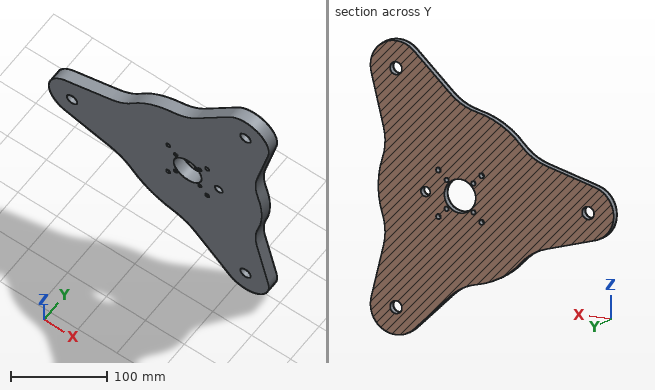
import cadquery as cq
import math

height = 317.0
thickness = 15.0
hub_radius = 95.0
lobe_diameter = 60.0
lobe_radius = lobe_diameter / 2
arm_taper = math.radians(16)
fillet_radius = 60.3
arm_angles = (60, 180, 300)

lobe_distance = (height - lobe_diameter) / math.sqrt(3)

bore_diameter = 35.8
lobe_hole_diameter = 13.3
side_hole_diameter = 10.0
side_hole_distance = 40.0
outer_square = 50.0
outer_hole_diameter = 5.0
inner_square = 31.0
inner_hole_diameter = 4.5


def polar(radius, angle):
    return radius * math.cos(angle), radius * math.sin(angle)


def arm_sector(angle_degrees):
    """One arm, from the plate centre out to its lobe, with both blends."""
    normal_angle = math.pi / 2 - arm_taper
    flank_offset = lobe_distance * math.sin(arm_taper) + lobe_radius
    blend_distance = hub_radius + fillet_radius
    blend_angle = normal_angle - math.acos((flank_offset + fillet_radius) / blend_distance)
    blend_x, blend_y = polar(blend_distance, blend_angle)

    hub_end = polar(hub_radius, blend_angle)
    mid_angle = (blend_angle + normal_angle) / 2 + math.pi
    mid_dx, mid_dy = polar(fillet_radius, mid_angle)
    blend_mid = (blend_x + mid_dx, blend_y + mid_dy)
    end_dx, end_dy = polar(fillet_radius, normal_angle + math.pi)
    blend_end = (blend_x + end_dx, blend_y + end_dy)
    tip_dx, tip_dy = polar(lobe_radius, normal_angle)
    lobe_start = (lobe_distance + tip_dx, tip_dy)

    def mirrored(point):
        return point[0], -point[1]

    return (
        cq.Workplane("XZ")
        .lineTo(*hub_end)
        .threePointArc(blend_mid, blend_end)
        .lineTo(*lobe_start)
        .threePointArc((lobe_distance + lobe_radius, 0), mirrored(lobe_start))
        .lineTo(*mirrored(blend_end))
        .threePointArc(mirrored(blend_mid), mirrored(hub_end))
        .close()
        .extrude(thickness)
        .rotate((0, 0, 0), (0, 1, 0), -angle_degrees)
    )


def drill(points, diameter):
    return cq.Workplane("XZ").pushPoints(points).circle(diameter / 2).extrude(thickness)


def square_corners(side):
    half = side / 2
    return [(x, z) for x in (-half, half) for z in (-half, half)]


plate = cq.Workplane("XZ").circle(hub_radius).extrude(thickness)
for arm_angle in arm_angles:
    plate = plate.union(arm_sector(arm_angle))
plate = plate.clean()

lobe_centres = [polar(lobe_distance, math.radians(angle)) for angle in arm_angles]
result = (
    plate
    .cut(drill([(0, 0)], bore_diameter))
    .cut(drill(lobe_centres, lobe_hole_diameter))
    .cut(drill([(side_hole_distance, 0)], side_hole_diameter))
    .cut(drill(square_corners(outer_square), outer_hole_diameter))
    .cut(drill(square_corners(inner_square), inner_hole_diameter))
)